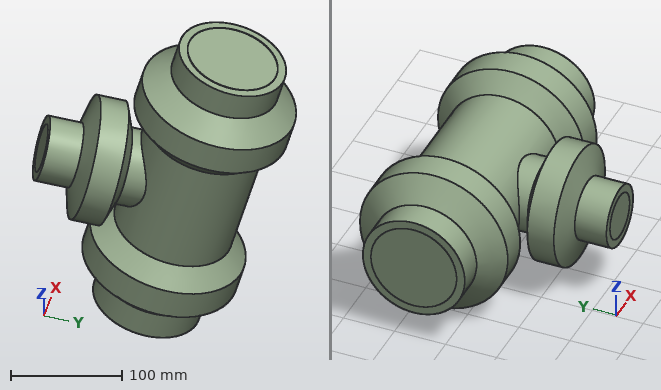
import cadquery as cq


run_half_length = 145.5
end_neck_length = 26.5
end_neck_radius = 50.0
outer_cone_length = 18.5
collar_width = 28.0
left_collar_radius = 72.5
right_collar_radius = 71.75
barrel_radius = 55.0
run_bore_radius = 42.0
run_core_overhang = 0.5

branch_offset = 0.5
branch_length = 138.0
branch_root_radius = 35.25
branch_collar_radius = 57.5
branch_neck_radius = 30.0
branch_bore_radius = 22.0
root_cone_start = 63.0
branch_collar_start = 72.5
branch_collar_end = 98.5
branch_neck_start = 107.0


def run_half_profile(side, collar_radius):
    """(x, radius) points from one end of the run to the barrel; side is -1 or 1."""
    cone_start = run_half_length - end_neck_length
    collar_outer = cone_start - outer_cone_length
    collar_inner = collar_outer - collar_width
    barrel_end = collar_inner - (collar_radius - barrel_radius)
    return [
        (side * run_half_length, end_neck_radius),
        (side * cone_start, end_neck_radius),
        (side * collar_outer, collar_radius),
        (side * collar_inner, collar_radius),
        (side * barrel_end, barrel_radius),
    ]


def make_run():
    left = run_half_profile(-1, left_collar_radius)
    right = run_half_profile(1, right_collar_radius)
    outline = [(-run_half_length, 0), *left, *reversed(right), (run_half_length, 0)]
    return cq.Workplane("XY").polyline(outline).close().revolve(360, (0, 0, 0), (1, 0, 0))


def make_branch():
    outline = [
        (0, 0),
        (branch_root_radius, 0),
        (branch_root_radius, -root_cone_start),
        (branch_collar_radius, -branch_collar_start),
        (branch_collar_radius, -branch_collar_end),
        (branch_neck_radius, -branch_neck_start),
        (branch_neck_radius, -branch_length),
        (0, -branch_length),
    ]
    sketch_plane = cq.Workplane("XY", origin=(branch_offset, 0, 0))
    return sketch_plane.polyline(outline).close().revolve(360, (0, 0, 0), (0, 1, 0))


def make_run_core():
    length = 2 * run_half_length + run_core_overhang
    return cq.Workplane("YZ", origin=(-run_half_length, 0, 0)).circle(run_bore_radius).extrude(length)


def make_branch_core(run_core):
    """Round plug, flush with the branch end, whose inner end fits against the run core."""
    plug = cq.Workplane("XZ", origin=(branch_offset, 0, 0)).circle(branch_bore_radius).extrude(branch_length)
    return plug.cut(run_core).solids()


def make_housing(run_core, branch_core):
    """Tee shell whose bores fit the two cores."""
    return make_run().union(make_branch()).cut(run_core).cut(branch_core).solids()


run_core = make_run_core()
branch_core = make_branch_core(run_core)
housing = make_housing(run_core, branch_core)

result = cq.Compound.makeCompound([housing.val(), run_core.val(), branch_core.val()])